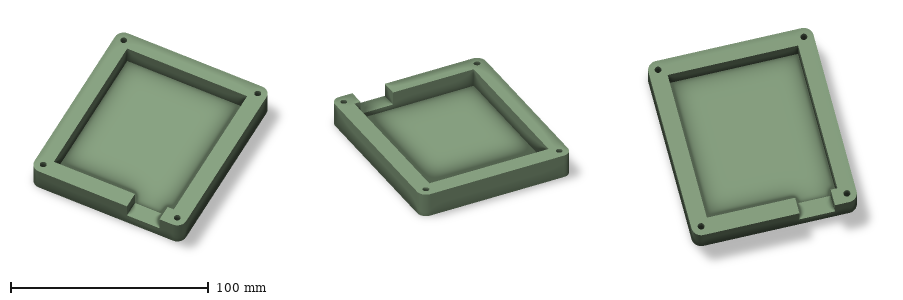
import cadquery as cq

length_x = 86.0
length_y = 100.0
height = 13.0
corner_radius = 5.0

wall = 9.0
pocket_depth = 10.0

hole_diameter = 3.5
hole_inset = corner_radius

notch_width = 18.5
notch_depth = 7.3
notch_right_inset = 12.5


def make_block():
    block = cq.Workplane("XY").box(length_x, length_y, height, centered=(True, True, False))
    return block.edges("|Z").fillet(corner_radius)


def make_pocket():
    return (
        cq.Workplane("XY", origin=(0, 0, height))
        .rect(length_x - 2 * wall, length_y - 2 * wall)
        .extrude(-pocket_depth)
    )


def make_screw_holes():
    return (
        cq.Workplane("XY")
        .rect(length_x - 2 * hole_inset, length_y - 2 * hole_inset, forConstruction=True)
        .vertices()
        .circle(hole_diameter / 2)
        .extrude(height)
    )


def make_notch():
    center_x = length_x / 2 - notch_right_inset - notch_width / 2
    center_y = -length_y / 2 + wall / 2
    return (
        cq.Workplane("XY", origin=(center_x, center_y, height))
        .rect(notch_width, wall)
        .extrude(-notch_depth)
    )


result = make_block().cut(make_pocket()).cut(make_screw_holes()).cut(make_notch())